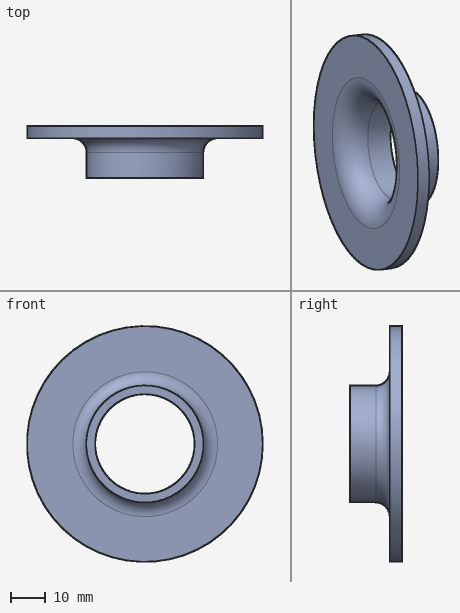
import cadquery as cq

flange_diameter = 68.0
flange_thickness = 3.6
total_depth = 15.0
neck_diameter = 33.7
bore_diameter = 28.55
neck_fillet_radius = 4.0

flange_radius = flange_diameter / 2
neck_radius = neck_diameter / 2
bore_radius = bore_diameter / 2
bore_flare_radius = flange_thickness + neck_fillet_radius

flange_front = -flange_thickness
neck_end = -total_depth


def quarter_arc(sketch, center, radius, end):
    """Add a concave quarter arc whose center lies on its +X, -Y side."""
    half_chord = radius * 0.5**0.5
    middle = (center[0] - half_chord, center[1] + half_chord)
    return sketch.threePointArc(middle, end)


profile = cq.Workplane("XY").moveTo(bore_radius, neck_end)
profile = profile.lineTo(bore_radius, -bore_flare_radius)
profile = quarter_arc(
    profile,
    (bore_radius + bore_flare_radius, -bore_flare_radius),
    bore_flare_radius,
    (bore_radius + bore_flare_radius, 0),
)
profile = profile.lineTo(flange_radius, 0)
profile = profile.lineTo(flange_radius, flange_front)
profile = profile.lineTo(neck_radius + neck_fillet_radius, flange_front)
profile = quarter_arc(
    profile,
    (neck_radius + neck_fillet_radius, flange_front - neck_fillet_radius),
    neck_fillet_radius,
    (neck_radius, flange_front - neck_fillet_radius),
)
profile = profile.lineTo(neck_radius, neck_end).close()

result = profile.revolve(360, (0, 0, 0), (0, 1, 0))